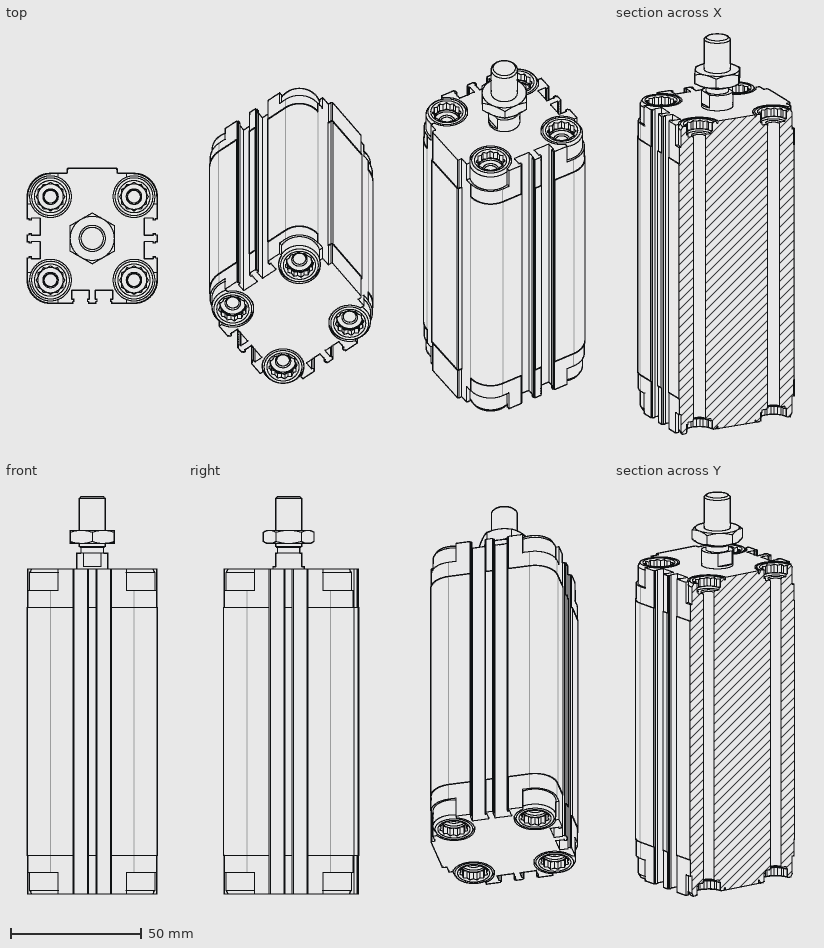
import cadquery as cq
import math


housing_length = 124.7
cap_length = 14.8
tube_half_width = 25.0
cap_inset = 0.25
boss_offset = 16.0
tube_corner_radius = tube_half_width - boss_offset

pad_half_width = 9.8
pad_top = 27.0
pad_chamfer = 0.5

slot_floor = 20.0
slot_near = 1.2
slot_far = 7.8
lip_inner_face = 23.3
lip_near = 1.8
lip_far = 7.0
lip_step_face = 24.2
lip_step = 0.5

boss_diameter = 16.0
boss_top_diameter = 14.5
boss_bevel_height = 1.4
recess_start = 13.1
recess_depth = 8.2

mouth_diameter = 12.4
mouth_depth = 0.6
socket_bore_diameter = 9.8
socket_tip_diameter = 11.0
socket_points = 12
star_depth = 3.7
socket_depth = 4.5
hole_mouth_diameter = 6.0
hole_diameter = 4.9

total_length = 152.5
rod_diameter = 12.0
rod_shoulder_z = 130.8
flat_start_z = 125.7
flat_width = 10.0
neck_diameter = 8.7
thread_start_z = 133.0
thread_diameter = 10.0
tip_diameter = 8.5
tip_chamfer_height = 0.8
thread_start_chamfer = 0.5

nut_bottom_z = 134.5
nut_height = 5.0
nut_across_flats = 17.0
nut_chamfer_angle = 30.0
nut_sides = 6


def slot_profiles():
    """Outlines of the two mirror-image undercut slots on the -Y face."""
    outside = -2 * tube_half_width
    return [
        cq.Workplane("XY").polyline([
            (side * slot_near, -slot_floor),
            (side * slot_far, -slot_floor),
            (side * slot_far, -lip_inner_face),
            (side * lip_far, -lip_inner_face),
            (side * lip_far, -lip_step_face),
            (side * (lip_far + lip_step), -lip_step_face),
            (side * (lip_far + lip_step), outside),
            (side * (lip_near - lip_step), outside),
            (side * (lip_near - lip_step), -lip_step_face),
            (side * lip_near, -lip_step_face),
            (side * lip_near, -lip_inner_face),
            (side * slot_near, -lip_inner_face),
        ]).close()
        for side in (-1, 1)
    ]


def profile_block(inset, z_bottom, length):
    """Rounded square drawn in by the inset, with the +Y pad on a flat land that is never drawn in."""
    width = 2 * (tube_half_width - inset)
    block = (
        cq.Workplane("XY", origin=(0, 0, z_bottom))
        .rect(width, width)
        .extrude(length)
        .edges("|Z")
        .fillet(tube_corner_radius - inset)
    )
    pad = (
        cq.Workplane("XY", origin=(0, 0, z_bottom))
        .rect(2 * (pad_half_width - inset), 2 * (pad_top - inset))
        .extrude(length)
        .edges("|Z and >Y")
        .chamfer(pad_chamfer)
    )
    land = (
        cq.Workplane("XY", origin=(0, 0, z_bottom))
        .rect(2 * boss_offset, 2 * tube_half_width)
        .extrude(length)
    )
    lower_half = (
        cq.Workplane("XY", origin=(0, -tube_half_width, z_bottom))
        .rect(width, 2 * tube_half_width)
        .extrude(length)
    )
    return block.union(pad.union(land).cut(lower_half))


def corner_recess():
    """Material removed around the boss at the top of the +X +Y corner."""
    boss = (
        cq.Workplane("XY", origin=(boss_offset, boss_offset, housing_length - recess_depth))
        .circle(boss_diameter / 2)
        .extrude(recess_depth)
    )
    corner_size = tube_half_width - recess_start
    corner = (
        cq.Workplane("XY", origin=(recess_start, recess_start, housing_length - recess_depth))
        .rect(corner_size, corner_size, centered=False)
        .extrude(recess_depth)
        .cut(boss)
    )
    bevel = (
        cq.Workplane("XZ")
        .polyline([
            (boss_top_diameter / 2, 0),
            (boss_diameter / 2, 0),
            (boss_diameter / 2, -boss_bevel_height),
        ])
        .close()
        .revolve(360, (0, 0, 0), (0, 1, 0))
        .translate((boss_offset, boss_offset, housing_length))
    )
    return corner.union(bevel)


def screw_socket():
    """Socket with a bevelled mouth and a countersunk floor, for the +X +Y boss."""
    hole_radius = hole_diameter / 2
    floor_bevel = hole_mouth_diameter / 2 - hole_radius
    bore_radius = socket_bore_diameter / 2
    bore = (
        cq.Workplane("XZ")
        .polyline([
            (0, 0),
            (mouth_diameter / 2, 0),
            (bore_radius, -mouth_depth),
            (bore_radius, -socket_depth),
            (hole_mouth_diameter / 2, -socket_depth),
            (hole_radius, -socket_depth - floor_bevel),
            (0, -socket_depth - floor_bevel),
        ])
        .close()
        .revolve(360, (0, 0, 0), (0, 1, 0))
    )
    mouth_slope = mouth_depth / (mouth_diameter - socket_bore_diameter)
    star_start = mouth_slope * (mouth_diameter - socket_tip_diameter)
    star_points = []
    for index in range(2 * socket_points):
        radius = (socket_tip_diameter if index % 2 == 0 else socket_bore_diameter) / 2
        angle = math.pi * index / socket_points
        star_points.append((radius * math.cos(angle), radius * math.sin(angle)))
    star = (
        cq.Workplane("XY", origin=(0, 0, -star_depth))
        .polyline(star_points)
        .close()
        .extrude(star_depth - star_start)
    )
    return bore.union(star).translate((boss_offset, boss_offset, housing_length))


def make_housing():
    tube_length = housing_length - 2 * cap_length
    housing = profile_block(0, cap_length, tube_length)
    for z_bottom in (0, housing_length - cap_length):
        housing = housing.union(profile_block(cap_inset, z_bottom, cap_length))

    for face_angle in (-90, 0, 90):
        for slot in slot_profiles():
            cutter = slot.extrude(housing_length)
            housing = housing.cut(cutter.rotate((0, 0, 0), (0, 0, 1), face_angle))

    upper_cut = corner_recess().union(screw_socket())
    lower_cut = upper_cut.mirror("XY", (0, 0, housing_length / 2))
    through_hole = (
        cq.Workplane("XY", origin=(boss_offset, boss_offset, 0))
        .circle(hole_diameter / 2)
        .extrude(housing_length)
    )
    for corner_angle in (0, 90, 180, 270):
        for cutter in (upper_cut, lower_cut, through_hole):
            housing = housing.cut(cutter.rotate((0, 0, 0), (0, 0, 1), corner_angle))
    return housing


def make_rod():
    """Stepped rod standing on the housing top, with two wrench flats facing -Y and +Y."""
    rod = (
        cq.Workplane("XZ")
        .polyline([
            (0, housing_length),
            (rod_diameter / 2, housing_length),
            (rod_diameter / 2, rod_shoulder_z),
            (neck_diameter / 2, rod_shoulder_z),
            (neck_diameter / 2, thread_start_z),
            (thread_diameter / 2 - thread_start_chamfer, thread_start_z),
            (thread_diameter / 2, thread_start_z + thread_start_chamfer),
            (thread_diameter / 2, total_length - tip_chamfer_height),
            (tip_diameter / 2, total_length),
            (0, total_length),
        ])
        .close()
        .revolve(360, (0, 0, 0), (0, 1, 0))
    )
    for side in (-1, 1):
        flat_cut = (
            cq.Workplane("XY", origin=(0, side * (flat_width + rod_diameter) / 2, flat_start_z))
            .rect(rod_diameter, rod_diameter)
            .extrude(rod_shoulder_z - flat_start_z)
        )
        rod = rod.cut(flat_cut)
    return rod


def make_nut():
    """Hexagon nut with corners on the Y axis, bevelled at both ends."""
    half_side_angle = 180 / nut_sides
    flat_radius = nut_across_flats / 2
    corner_radius = flat_radius / math.cos(math.radians(half_side_angle))
    bevel_height = (corner_radius - flat_radius) * math.tan(math.radians(nut_chamfer_angle))
    hexagon = (
        cq.Workplane("XY")
        .polygon(nut_sides, 2 * corner_radius)
        .extrude(nut_height)
        .rotate((0, 0, 0), (0, 0, 1), half_side_angle)
    )
    bevelled_disc = (
        cq.Workplane("XZ")
        .polyline([
            (thread_diameter / 2, 0),
            (flat_radius, 0),
            (corner_radius, bevel_height),
            (corner_radius, nut_height - bevel_height),
            (flat_radius, nut_height),
            (thread_diameter / 2, nut_height),
        ])
        .close()
        .revolve(360, (0, 0, 0), (0, 1, 0))
    )
    return hexagon.intersect(bevelled_disc).translate((0, 0, nut_bottom_z))


housing = make_housing()
rod = make_rod()
nut = make_nut()
result = cq.Compound.makeCompound([housing.val(), rod.val(), nut.val()])